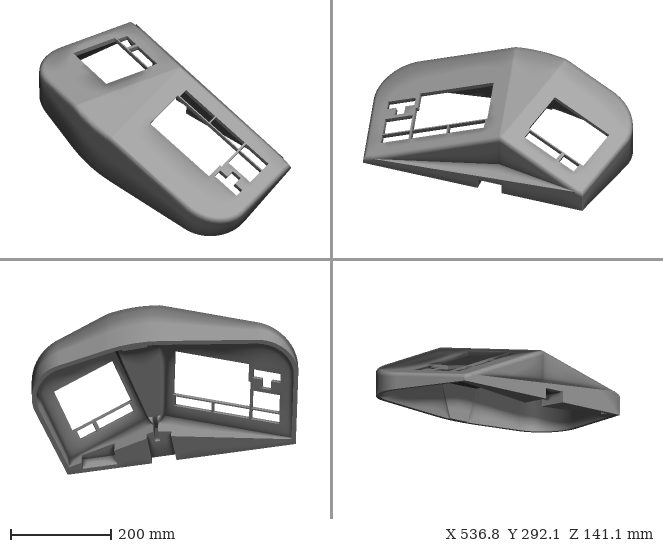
import cadquery as cq
import math


apex_height = 109.0
wing_heading = 10.1
wing_fall = 19.3
centre_rise = 0.134
edge_radius = 9.5

left_wing_length = 190.0
right_wing_length = 277.0
seam_reach = 245.0
corner_radius = 82.0
rear_offset = 36.5
rear_angle = 1.9
whole_turn = -0.7

shelf_height = 42.0
shelf_left_height = 46.0
shelf_right_height = 16.0

wall = 9.0
back_wall = 12.5
rib_offset = 20.0
centre_opening_height = 71.5
centre_opening_back = 28.0
slot_left = -4.5
slot_right = 6.0
slot_back = 0.0
notch_left = -17.5
notch_right = 32.0
notch_height = 21.5
pocket_left = -156.0
pocket_right = -86.0
pocket_front = -27.0
pocket_height = 35.0

row_start = 37.5
row_end = 58.5
main_start = 61.0
main_end = 157.5

left_row_spans = [(37.0, 114.5), (122.0, 158.0)]
left_main_span = (32.0, 165.5)

right_row_spans = [(38.5, 116.5), (120.0, 196.5), (201.0, 260.5)]
right_main_span = (34.5, 193.0)
main_step_width = 4.5
main_step_end = 119.0
outer_span = (201.0, 260.0)
outer_end = 101.0
tee_stem_span = (220.0, 240.5)
tee_start = 109.0
tee_shoulder = 128.5
tee_end = 147.5

block_height = 2 * apex_height
reach = 1074.0

heading = math.radians(wing_heading)
fall = math.radians(wing_fall)
ridge = cq.Vector(math.cos(heading), math.sin(heading), 0)
ridge_slope = ridge * math.cos(fall) - cq.Vector(0, 0, math.sin(fall))
seam_spread = math.tan(heading) + math.tan(fall) * centre_rise / math.cos(heading)
seam_slope = cq.Vector(seam_spread, -1, centre_rise).normalized()
wing_normal = seam_slope.cross(ridge_slope)
apex = cq.Vector(0, 0, apex_height)
wing_plane = cq.Plane(apex, ridge_slope, wing_normal)
centre_plane = cq.Plane(apex, (1, 0, 0), (0, centre_rise, 1))
floor = cq.Workplane("XY")


def for_side(shape, side):
    """Return a right-hand shape, or its mirror image for the left wing."""
    return shape.mirror("YZ") if side == "left" else shape


def plan_point(point, side):
    """Plan coordinates of a right-hand point, mirrored for the left wing."""
    return (-point.x if side == "left" else point.x, point.y)


def wing_prism(points, top, depth):
    """Prism square to the right wing; points are (along the ridge, forward along the seam)."""
    outline = [(along, -forward) for along, forward in points]
    return cq.Workplane(wing_plane).workplane(offset=top).polyline(outline).close().extrude(-depth)


def rectangle(along_start, along_end, forward_start, forward_end):
    """Corners of a rectangle on a wing."""
    return [
        (along_start, forward_start),
        (along_end, forward_start),
        (along_end, forward_end),
        (along_start, forward_end),
    ]


def above(plane):
    """Block standing on a plane and larger than the body."""
    return cq.Workplane(plane).rect(2 * reach, 2 * reach).extrude(reach)


def under_roof(shape):
    """Trim a shape to lie below the centre panel and both wings."""
    wing_space = above(wing_plane)
    shape = shape.cut(above(centre_plane))
    return shape.cut(wing_space).cut(wing_space.mirror("YZ"))


right_main_start, right_main_end = right_main_span
row_depth = (row_start, row_end)
main_depth = (main_start, main_end)
left_windows = [rectangle(*span, *row_depth) for span in left_row_spans]
left_windows.append(rectangle(*left_main_span, *main_depth))
right_windows = [rectangle(*span, *row_depth) for span in right_row_spans]
right_windows += [
    rectangle(*right_main_span, *main_depth),
    rectangle(right_main_start, right_main_end + main_step_width, main_start, main_step_end),
    rectangle(*outer_span, main_start, outer_end),
    rectangle(*tee_stem_span, tee_start, tee_end),
    rectangle(*outer_span, tee_shoulder, tee_end),
]

seam_front = cq.Vector(seam_spread, -1, 0) * seam_reach
front_bulge = seam_front.x * math.tan(heading / 2)
front_middle = (0, -seam_reach - front_bulge)
ridge_ends = {"left": ridge * left_wing_length, "right": ridge * right_wing_length}
rear_slope = math.tan(math.radians(rear_angle))


def rear_point(start, direction, side):
    """Plan point where a right-hand line, mirrored for the left wing, meets the rear wall."""
    slope = -rear_slope if side == "left" else rear_slope
    travel = (rear_offset + slope * start.x - start.y) / (direction.y - slope * direction.x)
    return start + direction * travel


backward = cq.Vector(-seam_spread, 1, 0)
side_rear = {side: rear_point(ridge_ends[side], backward, side) for side in ridge_ends}
ridge_rear = {side: rear_point(cq.Vector(), ridge, side) for side in ridge_ends}
left_shelf = plan_point(ridge_rear["left"], "left")
right_shelf = plan_point(ridge_rear["right"], "right")


def make_outline():
    """Upright block on the floor with rounded front corners and the V of the ridges behind."""
    front = {side: ridge_ends[side] + seam_front for side in ridge_ends}
    block = (
        floor.moveTo(0, 0)
        .lineTo(*right_shelf)
        .lineTo(*plan_point(side_rear["right"], "right"))
        .lineTo(*plan_point(front["right"], "right"))
        .lineTo(*plan_point(seam_front, "right"))
        .threePointArc(front_middle, plan_point(seam_front, "left"))
        .lineTo(*plan_point(front["left"], "left"))
        .lineTo(*plan_point(side_rear["left"], "left"))
        .lineTo(*left_shelf)
        .close()
        .extrude(block_height)
    )
    for side in front:
        corner = cq.Vector(*plan_point(front[side], side), apex_height)
        block = block.edges(cq.NearestToPointSelector(corner.toTuple())).fillet(corner_radius)
    return block


def make_shelf():
    """Triangular block between the ridges and the rear wall, with a gently sloping top."""
    left = cq.Vector(*left_shelf, shelf_left_height)
    right = cq.Vector(*right_shelf, shelf_right_height)
    middle = cq.Vector(0, 0, shelf_height)
    normal = (right - middle).cross(left - middle)
    top = cq.Plane(middle, right - left, normal)
    block = floor.polyline([(0, 0), right_shelf, left_shelf]).close().extrude(apex_height)
    return block.cut(above(top))


def make_cavity(side):
    """Hollow under one wing, open to the floor."""
    area = rectangle(rib_offset, reach, back_wall, reach)
    return for_side(wing_prism(area, -wall, reach), side).intersect(inner_block)


def box(x_start, x_end, y_start, y_end, height):
    """Upright box standing on the floor."""
    size = (x_end - x_start, y_end - y_start, height)
    return cq.Workplane("XY", origin=(x_start, y_start, 0)).box(*size, centered=False)


def make_pocket():
    """Hollow from the left wing cavity back to the rear wall, under the shelf."""
    rear = [(x, rear_offset + rear_slope * x - wall) for x in (pocket_right, pocket_left)]
    front = [(pocket_left, pocket_front), (pocket_right, pocket_front)]
    return floor.polyline(rear + front).close().extrude(pocket_height)


def cut_window(shape, points, side):
    """Cut one window square through the wing plate."""
    return shape.cut(for_side(wing_prism(points, wall, 2.5 * wall), side))


outline = make_outline()
outline_wire = outline.faces("<Z").wires().toPending()
inner_block = outline_wire.offset2D(-wall).extrude(block_height, combine=False)

body = under_roof(outline)
body = body.edges("not(|Z or <Z)").fillet(edge_radius)
body = body.union(make_shelf())

for side in ridge_ends:
    body = body.cut(make_cavity(side))

for side, windows in (("left", left_windows), ("right", right_windows)):
    for window in windows:
        body = cut_window(body, window, side)

opening_front = -seam_reach + wall
through_walls = -centre_opening_back - wall
rib_opening_sides = (-seam_front.x, seam_front.x)
body = body.cut(box(*rib_opening_sides, opening_front, -centre_opening_back, centre_opening_height))
body = body.cut(box(slot_left, slot_right, through_walls, slot_back, centre_opening_height))
body = body.cut(box(notch_left, notch_right, through_walls, rear_offset + wall, notch_height))
body = body.cut(make_pocket())

result = body.solids().rotate((0, 0, 0), (0, 0, 1), whole_turn)